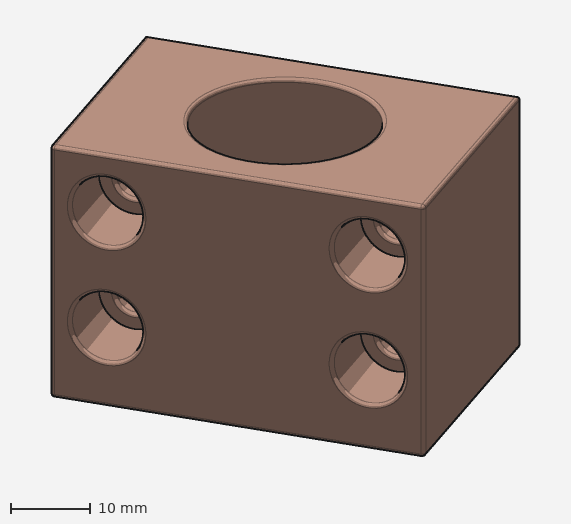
import cadquery as cq

length = 50.0
depth = 34.0
height = 35.0
edge_radius = 0.5

bore_diameter = 24.4

screw_spacing_x = 35.0
screw_spacing_z = 16.0
lowest_screw_height = 11.0
screw_hole_diameter = 5.2
counterbore_diameter = 9.5
counterbore_depth = 10.0

front_y = -depth / 2
counterbore_floor_y = front_y + counterbore_depth
screw_positions = [
    (side * screw_spacing_x / 2, lowest_screw_height + row * screw_spacing_z)
    for side in (-1, 1)
    for row in (0, 1)
]


def block_with_bore():
    block = cq.Workplane("XY").box(length, depth, height, centered=(True, True, False))
    block = block.edges("|Z and <Y").fillet(edge_radius)
    bore = cq.Workplane("XY").circle(bore_diameter / 2).extrude(height)
    return block.cut(bore).faces("<Z or >Z").edges().fillet(edge_radius)


def cut_along_y(body, start_y, end_y, diameter):
    """Drill all four screw positions from start_y back to end_y."""
    cutter = (
        cq.Workplane("XZ", origin=(0, start_y, 0))
        .pushPoints(screw_positions)
        .circle(diameter / 2)
        .extrude(start_y - end_y)
    )
    return body.cut(cutter)


def round_mouths(body, mouth_y, diameter):
    """Round the circular hole edges of one diameter lying at mouth_y."""
    margin = 0.05
    reach = diameter / 2 + margin
    for x, z in screw_positions:
        mouth_region = cq.selectors.BoxSelector(
            (x - reach, mouth_y - margin, z - reach),
            (x + reach, mouth_y + margin, z + reach),
            boundingbox=True,
        )
        body = body.edges(mouth_region).fillet(edge_radius)
    return body


result = block_with_bore()
result = cut_along_y(result, front_y, depth / 2, screw_hole_diameter)
result = cut_along_y(result, front_y, counterbore_floor_y, counterbore_diameter)
result = round_mouths(result, front_y, counterbore_diameter)
result = round_mouths(result, counterbore_floor_y, screw_hole_diameter)